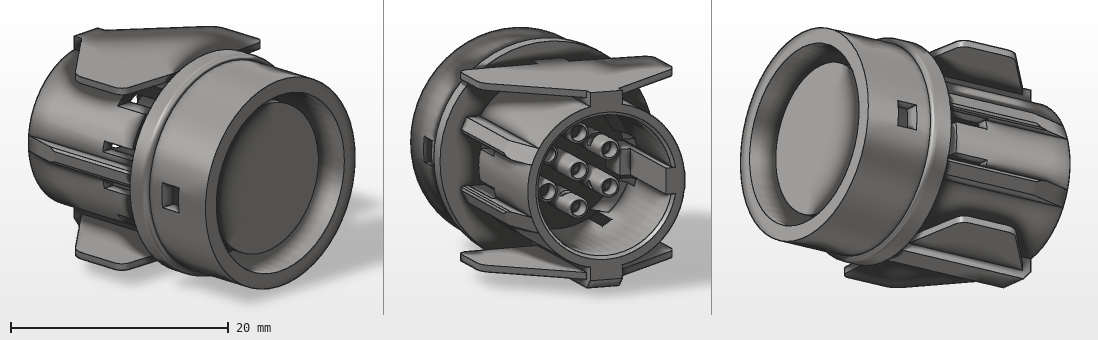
import cadquery as cq
import math

flange_start = 15.5
flange_end = 17.5
total_length = 24.55

barrel_radius = 7.7
bore_radius = 6.6
mouth_chamfer = 0.3

flange_radius = 10.5
flange_rounding = 0.49
housing_radius = 10.0
cavity_radius = 17.1 / 2
hub_radius = 14.3 / 2
hub_end = 22.6
port_start = 19.05
port_length = 2.1
port_height = 2.42

insert_start = 13.0
ledge_radius = 5.88
ledge_edge_y = 1.57
ledge_depth = 0.5
pin_radius = 1.0
pin_bore_radius = 0.75
pin_tip_start = 7.2
pin_tip_rounding = 0.25
pin_bore_end = 9.0
pin_circle_radius = 3.5
outer_pin_count = 6
first_pin_angle = 30.0
notch_radius = 0.6
notch_x = 10.0
notch_z = 2.25

window_start = 9.3
finger_end = 12.85
side_window_y = -3.1
side_window_z = (1.32, 7.05)
side_window_rear_z = 2.2
side_finger_z = (2.29, 5.27)
back_window_half_width = 2.47
back_finger_half_width = 1.5
hook_start = 11.0
hook_inner_radius = ledge_radius
side_hook_z = (side_finger_z[0], 4.98)

keel_width = 3.14
top_keel_height = 8.84
bottom_keel_height = 9.64
bottom_keel_bevel = 0.85
wing_thickness = 0.64
wing_half_span = 9.5
wing_front_x = 0.93
wing_shoulder_x = 7.58
wing_tip_x = 13.55
wing_rear_x = 13.9
wing_shoulder_radius = 2.0
wing_tip_radius = 1.0

rib_ramp_length = 4.35
front_rib_reach = 8.86
front_rib_half_width = 0.75
front_rib_bevel_width = 0.25
front_rib_bevel_depth = 0.17
back_rib_crest = (8.42, 2.85)
back_rib_corner = (8.36, 2.58)
back_rib_low_edge = (8.18, 2.45)
back_rib_high_edge = (7.9, 3.98)
rib_root = 7.0
back_rib_root = 6.0

key_half_width = 1.23
key_reach = 5.83
key_deep_reach = 4.8
key_deep_start = window_start


def disc(radius, start, end):
    """Cylinder on the connector axis."""
    return cq.Workplane("YZ", origin=(start, 0, 0)).circle(radius).extrude(end - start)


def block(x_range, y_range, z_range):
    """Box spanning the given X, Y and Z ranges."""
    x_mid, y_mid, z_mid = (sum(r) / 2 for r in (x_range, y_range, z_range))
    sizes = [r[1] - r[0] for r in (x_range, y_range, z_range)]
    return cq.Workplane(origin=(x_mid, y_mid, z_mid)).box(*sizes)


def prism_along_x(points, start, end):
    """Prism with a (Y, Z) outline."""
    return cq.Workplane("YZ", origin=(start, 0, 0)).polyline(points).close().extrude(end - start)


def mirrored_in_z(shape):
    """The shape together with its mirror image below the XY plane."""
    return shape.union(shape.mirror("XY"))


def make_barrel():
    return disc(barrel_radius, 0, flange_end)


def make_bore():
    bore = disc(bore_radius, 0, flange_end)
    mouth = cq.Workplane("YZ").circle(bore_radius + mouth_chamfer)
    mouth = mouth.workplane(offset=mouth_chamfer).circle(bore_radius).loft()
    return bore.union(mouth)


def make_keels():
    half = keel_width / 2
    top = block((0, flange_start), (-half, half), (rib_root, top_keel_height))
    bottom = block((0, flange_start), (-half, half), (-bottom_keel_height, -rib_root))
    bottom = bottom.edges("<X and <Z").chamfer(bottom_keel_bevel)
    return top.union(bottom)


def make_wings():
    """Flat plates on the keels; the lower one mirrors the upper one."""
    half = keel_width / 2
    outline = [
        (wing_front_x, half),
        (wing_shoulder_x, wing_half_span),
        (wing_tip_x, wing_half_span),
        (wing_rear_x, half),
        (wing_rear_x, -half),
        (wing_tip_x, -wing_half_span),
        (wing_shoulder_x, -wing_half_span),
        (wing_front_x, -half),
    ]
    base = top_keel_height - wing_thickness
    wing = cq.Workplane(origin=(0, 0, base)).polyline(outline).close().extrude(wing_thickness)
    for x, radius in ((wing_shoulder_x, wing_shoulder_radius), (wing_tip_x, wing_tip_radius)):
        for y in (-wing_half_span, wing_half_span):
            corner = cq.selectors.NearestToPointSelector((x, y, base + wing_thickness / 2))
            wing = wing.edges("|Z").edges(corner).fillet(radius)
    return mirrored_in_z(wing)


def ramp_envelope(foot, reach):
    """Side profile of a rib that rises from its foot at the mouth to its full reach."""
    outline = [
        (0, 0),
        (0, foot),
        (rib_ramp_length, reach),
        (flange_start, reach),
        (flange_start, 0),
    ]
    return cq.Workplane("XY").polyline(outline).close().extrude(barrel_radius, both=True)


def make_front_rib():
    bevel_y = front_rib_reach - front_rib_bevel_depth
    bevel_z = front_rib_half_width - front_rib_bevel_width
    outline = [
        (rib_root, front_rib_half_width),
        (bevel_y, front_rib_half_width),
        (front_rib_reach, bevel_z),
        (front_rib_reach, -bevel_z),
        (bevel_y, -front_rib_half_width),
        (rib_root, -front_rib_half_width),
    ]
    rib = prism_along_x(outline, 0, flange_start).intersect(ramp_envelope(barrel_radius, front_rib_reach))
    return rib.mirror("XZ")


def make_back_ribs():
    """Ribs with a sloping outer face, each ramp parallel to that slope."""
    outline = [
        (back_rib_root, back_rib_low_edge[1]),
        back_rib_low_edge,
        back_rib_corner,
        back_rib_crest,
        back_rib_high_edge,
        (back_rib_root, back_rib_high_edge[1]),
    ]
    rib = prism_along_x(outline, 0, flange_start)
    fall = back_rib_crest[0] - back_rib_high_edge[0]
    run = back_rib_high_edge[1] - back_rib_crest[1]
    tilt = math.atan2(fall, run)
    face_distance = back_rib_crest[0] * math.cos(tilt) + back_rib_crest[1] * math.sin(tilt)
    high_z = back_rib_high_edge[1]
    foot_y = math.sqrt(barrel_radius**2 - high_z**2)
    foot_distance = foot_y * math.cos(tilt) + high_z * math.sin(tilt)
    envelope = ramp_envelope(foot_distance, face_distance)
    envelope = envelope.rotate((0, 0, 0), (1, 0, 0), math.degrees(tilt))
    return mirrored_in_z(rib.intersect(envelope))


def make_side_windows():
    """Openings on the -Y side, each cut around a latch finger that stays on the barrel."""
    low, high = side_window_z
    outline = [
        (window_start, low),
        (insert_start, low),
        (flange_start, side_window_rear_z),
        (flange_start, high),
        (window_start, high),
    ]
    opening = cq.Workplane("XZ", origin=(0, side_window_y, 0)).polyline(outline).close()
    opening = opening.extrude(barrel_radius)
    finger = block((window_start, finger_end), (-2 * barrel_radius, 0), side_finger_z)
    return mirrored_in_z(opening.cut(finger))


def make_back_window():
    """Opening on the +Y side, cut around the third latch finger."""
    half = back_window_half_width
    y_range = (0, barrel_radius)
    opening = block((window_start, flange_start), y_range, (-half, half))
    finger_half = back_finger_half_width
    return opening.cut(block((window_start, finger_end), y_range, (-finger_half, finger_half)))


def make_hooks():
    """Latch hooks on the inner side of the finger tips, each with a conical lead-in ramp."""
    outer_radius = (bore_radius + barrel_radius) / 2
    ramp = [
        (hook_start, bore_radius),
        (finger_end, hook_inner_radius),
        (finger_end, outer_radius),
        (hook_start, outer_radius),
    ]
    ring = cq.Workplane("XY").polyline(ramp).close().revolve(360, (0, 0, 0), (1, 0, 0))
    half = back_finger_half_width
    back = block((hook_start, finger_end), (0, barrel_radius), (-half, half))
    side = block((hook_start, finger_end), (-barrel_radius, side_window_y), side_hook_z)
    return ring.intersect(back.union(mirrored_in_z(side)))


def make_key():
    """Stepped key on the -Y side of the bore."""
    z_range = (-key_half_width, key_half_width)
    shallow = block((0, insert_start), (-rib_root, -key_reach), z_range)
    deep = block((key_deep_start, insert_start), (-rib_root, -key_deep_reach), z_range)
    return shallow.union(deep)


def make_insert():
    """Contact carrier with a recessed rim on its +Y side and a hub inside the rear cavity."""
    insert = disc(bore_radius, insert_start, flange_end)
    hub = disc(hub_radius, flange_end, hub_end)
    ledge_end = insert_start + ledge_depth
    ledge = disc(barrel_radius, insert_start, ledge_end).cut(disc(ledge_radius, insert_start, ledge_end))
    back_side = block(
        (insert_start, ledge_end),
        (ledge_edge_y, barrel_radius),
        (-barrel_radius, barrel_radius),
    )
    ledge = ledge.intersect(back_side)
    return insert.cut(ledge).union(hub)


def make_pins():
    """Hollow-tipped contacts: one on the axis and a ring of six, with cross notches."""
    positions = [(0, 0)]
    for i in range(outer_pin_count):
        angle = math.radians(first_pin_angle + i * 360 / outer_pin_count)
        positions.append((pin_circle_radius * math.cos(angle), pin_circle_radius * math.sin(angle)))
    tips = cq.Workplane("YZ", origin=(pin_tip_start, 0, 0)).pushPoints(positions)
    pins = tips.circle(pin_radius).extrude(insert_start + ledge_depth - pin_tip_start)
    pins = pins.faces("<X").edges().fillet(pin_tip_rounding)
    pins = pins.cut(tips.circle(pin_bore_radius).extrude(pin_bore_end - pin_tip_start))
    notch = cq.Workplane("XZ").center(notch_x, notch_z).circle(notch_radius)
    notch = notch.extrude(bore_radius, both=True)
    return pins.cut(mirrored_in_z(notch))


def make_housing():
    """Rounded flange and hollow rear housing with two square ports."""
    flange = disc(flange_radius, flange_start, flange_end)
    flange = flange.faces(">X").edges().fillet(flange_rounding)
    housing = flange.union(disc(housing_radius, flange_start, total_length))
    housing = housing.cut(disc(cavity_radius, flange_end, total_length))
    ports = block(
        (port_start, port_start + port_length),
        (-flange_radius, flange_radius),
        (-port_height / 2, port_height / 2),
    )
    return housing.cut(ports)


shell = make_barrel().union(make_keels()).union(make_wings())
shell = shell.union(make_front_rib()).union(make_back_ribs())
shell = shell.cut(make_bore()).cut(make_side_windows()).cut(make_back_window())
shell = shell.union(make_hooks()).union(make_key())

result = shell.union(make_housing()).union(make_insert()).union(make_pins())